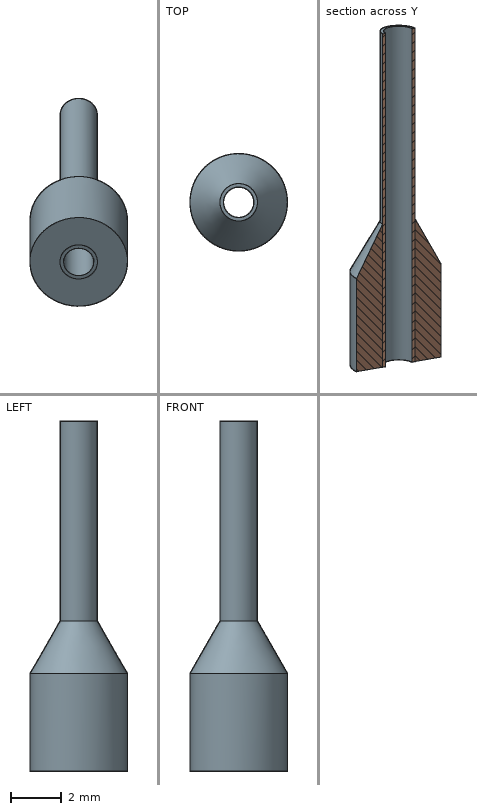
import cadquery as cq

total_length = 14.0
collar_diameter = 3.9
collar_straight_length = 3.92
collar_length = 6.02
tube_diameter = 1.5
bore_diameter = 1.2

collar_radius = collar_diameter / 2
tube_radius = tube_diameter / 2


def make_tube():
    """Thin metal sleeve, open from end to end."""
    return cq.Workplane("XY").circle(tube_radius).circle(bore_diameter / 2).extrude(total_length)


def make_collar():
    """Insulating collar around the tube: a straight skirt, then a cone down to the tube."""
    half_section = (
        cq.Workplane("XZ")
        .moveTo(tube_radius, 0)
        .lineTo(collar_radius, 0)
        .lineTo(collar_radius, collar_straight_length)
        .lineTo(tube_radius, collar_length)
        .close()
    )
    return half_section.revolve(360, (0, 0, 0), (0, 1, 0))


tube = make_tube()
collar = make_collar()

result = cq.Compound.makeCompound([tube.val(), collar.val()])